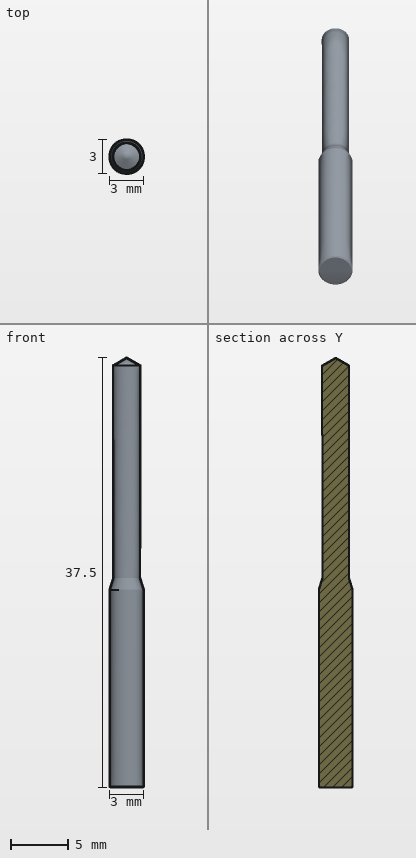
import cadquery as cq
import math

total_length = 37.5

shank_radius = 3.0 / 2
shank_length = 17.25
end_chamfer = 0.1

taper_length = 1.0

neck_radius = 2.35 / 2
head_radius = 2.4 / 2
point_angle = 120.0

tip_height = head_radius / math.tan(math.radians(point_angle / 2))
taper_top = shank_length + taper_length
head_top = total_length - tip_height

profile = (
    cq.Workplane("XZ")
    .moveTo(0, 0)
    .lineTo(shank_radius - end_chamfer, 0)
    .lineTo(shank_radius, end_chamfer)
    .lineTo(shank_radius, shank_length)
    .lineTo(neck_radius, taper_top)
    .lineTo(head_radius, head_top)
    .lineTo(0, total_length)
    .close()
)

result = profile.revolve(360, (0, 0, 0), (0, 1, 0))